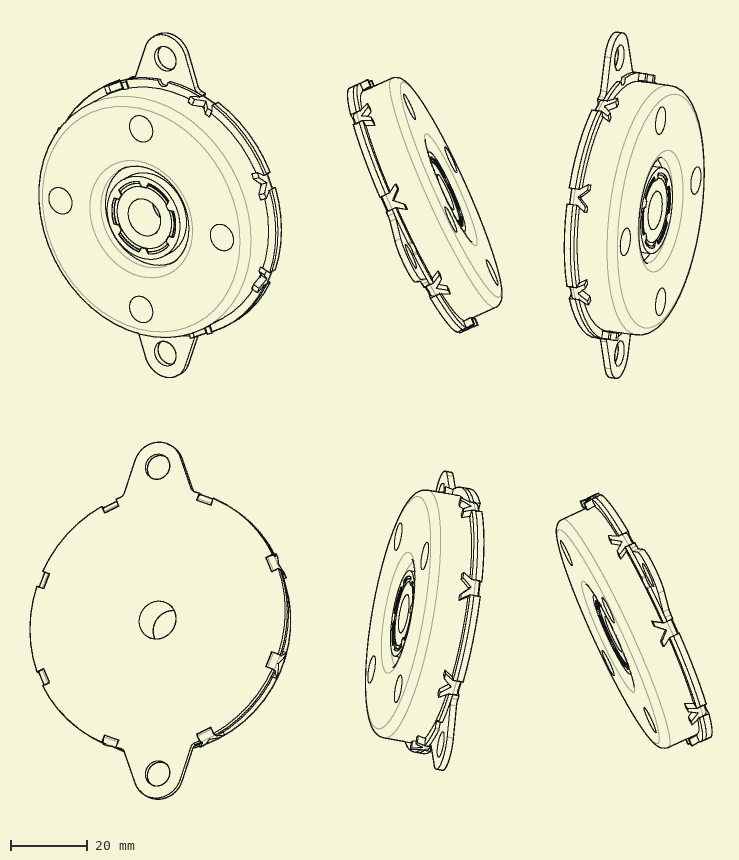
import cadquery as cq
import math


total_depth = 13.2
total_height = 95.0
rim_diameter = 70.0
rim_radius = rim_diameter / 2

plate_thickness = 1.7
ear_end_radius = 6.6
ear_hole_radius = 3.3
ear_side_angle = 19.0
ear_root_fillet = 1.9
ear_centre = total_height / 2 - ear_end_radius

tab_count = 8
tab_first_angle = 360 / tab_count / 2
tab_inner_radius = 33.0
tab_outer_radius = 34.9
tab_half_width = 2.1
tab_tip_depth = 5.1
tab_tip_half_width = 3.6
tab_split_half_width = 2.2
tab_bend_radius = 1.4
tab_back_setback = 0.3

flange_thickness = 1.0
cup_radius = 32.8
cup_edge_fillet = 2.1
flange_notch_radius = 1.4
flange_notch_lip_fillet = 0.4
flange_depth = plate_thickness + flange_thickness

recess_radius = 13.9
recess_depth = 4.3
boss_radius = 11.3
boss_height = 3.1
boss_depth = total_depth - recess_depth + boss_height

slot_count = 6
slot_outer_radius = 9.9
slot_inner_radius = 9.3
slot_step_depth = 0.2
slot_depth = 0.4
finger_root_width = 3.0
finger_tip_width = 1.5

hub_radius = 8.5
hub_depth = boss_depth - slot_depth
bore_radius = 5.0
post_count = 4
post_radius = 3.6
post_circle_radius = 25.1


def cylinder(radius, depth_from, depth_to, z=0.0):
    """Cylinder along Y between two depths measured forwards from the plate's back."""
    return (
        cq.Workplane("XZ", origin=(0, -depth_from, z))
        .circle(radius)
        .extrude(depth_to - depth_from)
    )


def around_axis(shape, angle):
    """Copy of a shape turned about the part's axis."""
    return shape.rotate((0, 0, 0), (0, 1, 0), angle)


def posts(depth_from):
    """Locating posts that run from the given depth to the cup's front face."""
    post = cylinder(post_radius, depth_from, total_depth, z=post_circle_radius)
    group = post
    for index in range(1, post_count):
        group = group.union(around_axis(post, index * 360 / post_count))
    return group


def ear():
    """Upper ear: a rounded end whose tangent sides widen down into the disc."""
    angle = math.radians(ear_side_angle)
    tangent_x = ear_end_radius * math.cos(angle)
    tangent_z = ear_centre + ear_end_radius * math.sin(angle)
    root_z = rim_radius / 2
    root_x = tangent_x + (tangent_z - root_z) * math.tan(angle)
    return (
        cq.Workplane("XZ")
        .moveTo(-root_x, root_z)
        .lineTo(-tangent_x, tangent_z)
        .threePointArc((0, ear_centre + ear_end_radius), (tangent_x, tangent_z))
        .lineTo(root_x, root_z)
        .close()
        .extrude(plate_thickness)
    )


def rim_selector(half_width):
    """Selects edges near the top and bottom of the rim, within a half width of the middle."""
    return cq.selectors.BoxSelector(
        (-half_width, -total_depth, -rim_radius), (half_width, total_depth, rim_radius)
    )


def tab_opening(depth):
    """Rim notch, from the plate's back to the given depth, that one tab stands in."""
    return (
        cq.Workplane("XY")
        .rect(2 * tab_half_width, 2 * depth)
        .extrude(rim_radius)
        .translate((0, 0, tab_inner_radius))
    )


def tab():
    """One crimp tab at the top of the rim: a bent neck ending in a split V."""
    block = (
        cq.Workplane("XY", origin=(0, 0, tab_inner_radius))
        .moveTo(-tab_half_width, -tab_back_setback)
        .lineTo(-tab_half_width, -flange_depth)
        .lineTo(-tab_tip_half_width, -tab_tip_depth)
        .lineTo(-tab_split_half_width, -tab_tip_depth)
        .lineTo(0, -flange_depth)
        .lineTo(tab_split_half_width, -tab_tip_depth)
        .lineTo(tab_tip_half_width, -tab_tip_depth)
        .lineTo(tab_half_width, -flange_depth)
        .lineTo(tab_half_width, -tab_back_setback)
        .close()
        .extrude(tab_outer_radius - tab_inner_radius)
    )
    return block.faces(">Y").edges(">Z").fillet(tab_bend_radius)


def tab_angles():
    """Angles of the tabs about the axis, evenly spaced and clear of the ears."""
    return [tab_first_angle + index * 360 / tab_count for index in range(tab_count)]


def make_cover():
    """Cover plate with ears, crimp tabs, central hub and locating posts."""
    upper_ear = ear()
    cover = cylinder(rim_radius, 0, plate_thickness).union(upper_ear).union(around_axis(upper_ear, 180))
    cover = cover.edges("|Y").edges(rim_selector(2 * ear_end_radius)).fillet(ear_root_fillet)
    for side in (-1, 1):
        cover = cover.cut(cylinder(ear_hole_radius, 0, plate_thickness, z=side * ear_centre))

    opening = tab_opening(plate_thickness)
    crimp_tab = tab()
    for angle in tab_angles():
        cover = cover.cut(around_axis(opening, angle)).union(around_axis(crimp_tab, angle))

    cover = cover.union(cylinder(hub_radius, 0, hub_depth)).union(posts(0))
    return cover.cut(cylinder(bore_radius, 0, total_depth))


def slot_ring(outer_radius, depth):
    """Ring of slots of one depth in the boss face, interrupted by the tapered fingers."""
    ring = cylinder(outer_radius, boss_depth - depth, boss_depth)
    finger = (
        cq.Workplane("XZ")
        .moveTo(-finger_tip_width / 2, hub_radius)
        .lineTo(-finger_root_width / 2, slot_outer_radius)
        .lineTo(-finger_root_width / 2, boss_radius)
        .lineTo(finger_root_width / 2, boss_radius)
        .lineTo(finger_root_width / 2, slot_outer_radius)
        .lineTo(finger_tip_width / 2, hub_radius)
        .close()
        .extrude(total_depth)
    )
    for index in range(slot_count):
        ring = ring.cut(around_axis(finger, index * 360 / slot_count))
    return ring


def make_cup():
    """Flanged cup with a rounded front edge, a central recess and a slotted boss."""
    cup = cylinder(cup_radius, plate_thickness, total_depth)
    cup = cup.cut(cylinder(recess_radius, total_depth - recess_depth, total_depth))
    cup = cup.faces("<Y").edges().fillet(cup_edge_fillet)
    cup = cup.union(cylinder(rim_radius, plate_thickness, flange_depth))
    cup = cup.union(cylinder(boss_radius, plate_thickness, boss_depth))

    for side in (-1, 1):
        cup = cup.cut(cylinder(flange_notch_radius, plate_thickness, flange_depth, z=side * rim_radius))
    cup = cup.edges("|Y").edges(rim_selector(2 * flange_notch_radius)).fillet(flange_notch_lip_fillet)
    opening = tab_opening(flange_depth)
    for angle in tab_angles():
        cup = cup.cut(around_axis(opening, angle))

    cup = cup.cut(slot_ring(slot_outer_radius, slot_step_depth))
    cup = cup.cut(slot_ring(slot_inner_radius, slot_depth))
    cup = cup.cut(cylinder(hub_radius, plate_thickness, boss_depth))
    return cup.cut(posts(plate_thickness))


cover = make_cover()
cup = make_cup()

result = cq.Compound.makeCompound([cover.solids().val(), cup.solids().val()])